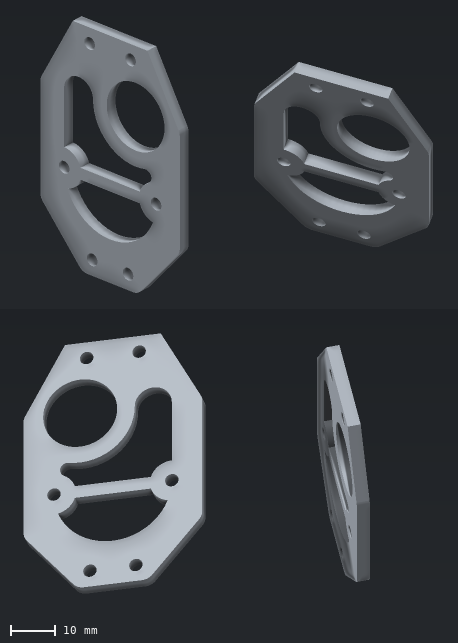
import cadquery as cq
import math

thickness = 3.0
half_width = 41.0 / 2
height = 62.0
top_z = 37.6
bottom_z = top_z - height
top_half_width = 11.0
bottom_half_width = 8.1
upper_corner_z = 20.0
lower_corner_z = -9.9
corner_radius = 3.1

hole_diameter = 3.1
top_hole_x, top_hole_z = 6.0, 33.6
bottom_hole_x, bottom_hole_z = 5.3, -20.4

boss_x = 13.5
boss_radius = 5.0
bar_half_height = 1.5

bore_x, bore_z = 7.5, 19.85
bore_radius = 8.5
ring_radius = 12.5

tip_radius = 1.7
lower_opening_radius = boss_x


def point_toward(start, end, distance):
    """Point at a given distance from start along the line to end."""
    share = distance / math.dist(start, end)
    return (start[0] + share * (end[0] - start[0]), start[1] + share * (end[1] - start[1]))


def through_plate(sketch):
    """Extrude a closed XZ outline over the plate thickness, toward +Y."""
    return sketch.extrude(-thickness)


def cylinder(points, radius):
    return through_plate(cq.Workplane("XZ").pushPoints(points).circle(radius))


def make_plate():
    right_side = [
        (bottom_half_width, bottom_z),
        (half_width, lower_corner_z),
        (half_width, upper_corner_z),
        (top_half_width, top_z),
    ]
    left_side = [(-x, z) for x, z in reversed(right_side)]
    plate = through_plate(cq.Workplane("XZ").polyline(right_side + left_side).close())
    rounded_edges = plate.edges("|Y").edges(cq.selectors.BoxSelector(
        (-2 * half_width, -thickness, bottom_z - 0.6),
        (2 * half_width, 2 * thickness, upper_corner_z + 0.6),
    ))
    return rounded_edges.fillet(corner_radius)


def make_upper_opening():
    ring_center = (bore_x, bore_z)
    boss_center = (boss_x, 0)

    center_distance = math.dist(ring_center, boss_center)
    to_ring = ring_radius + tip_radius
    to_boss = boss_radius + tip_radius
    along = (center_distance**2 + to_ring**2 - to_boss**2) / (2 * center_distance)
    aside = math.sqrt(to_ring**2 - along**2)
    foot = point_toward(ring_center, boss_center, along)
    unit_x = (boss_x - bore_x) / center_distance
    unit_z = -bore_z / center_distance
    tip_center = (foot[0] + aside * unit_z, foot[1] - aside * unit_x)
    tip_end = (tip_center[0] + tip_radius, tip_center[1])
    tip_on_ring = point_toward(ring_center, tip_center, ring_radius)
    tip_on_boss = point_toward(boss_center, tip_center, boss_radius)

    slot_right = bore_x - ring_radius
    slot_radius = (slot_right + boss_x) / 2
    slot_top = (slot_right - slot_radius, bore_z + slot_radius)
    ring_middle = point_toward(ring_center, (slot_right, bore_z - ring_radius), ring_radius)

    boss_reach = math.sqrt(boss_radius**2 - bar_half_height**2)
    bar_end_x = boss_x - boss_reach
    bar_end = (bar_end_x, bar_half_height)
    boss_middle_right = point_toward(
        boss_center,
        ((bar_end[0] + tip_on_boss[0]) / 2, (bar_end[1] + tip_on_boss[1]) / 2),
        boss_radius,
    )
    boss_middle_left = point_toward((-boss_x, 0), (0, boss_x), boss_radius)

    return through_plate(
        cq.Workplane("XZ")
        .moveTo(-boss_x, boss_radius)
        .lineTo(-boss_x, bore_z)
        .threePointArc(slot_top, (slot_right, bore_z))
        .threePointArc(ring_middle, tip_on_ring)
        .threePointArc(tip_end, tip_on_boss)
        .threePointArc(boss_middle_right, bar_end)
        .lineTo(-bar_end_x, bar_half_height)
        .threePointArc(boss_middle_left, (-boss_x, boss_radius))
        .close()
    )


def make_lower_opening():
    disc = cylinder([(0, 0)], lower_opening_radius)
    below_bar = through_plate(
        cq.Workplane("XZ")
        .moveTo(-half_width, -bar_half_height)
        .lineTo(half_width, -bar_half_height)
        .lineTo(half_width, bottom_z)
        .lineTo(-half_width, bottom_z)
        .close()
    )
    bosses = cylinder([(-boss_x, 0), (boss_x, 0)], boss_radius)
    return disc.intersect(below_bar).cut(bosses)


hole_pairs = [(top_hole_x, top_hole_z), (boss_x, 0), (bottom_hole_x, bottom_hole_z)]
hole_points = [(side * x, z) for x, z in hole_pairs for side in (-1, 1)]

result = (
    make_plate()
    .cut(cylinder(hole_points, hole_diameter / 2))
    .cut(cylinder([(bore_x, bore_z)], bore_radius))
    .cut(make_upper_opening())
    .cut(make_lower_opening())
)